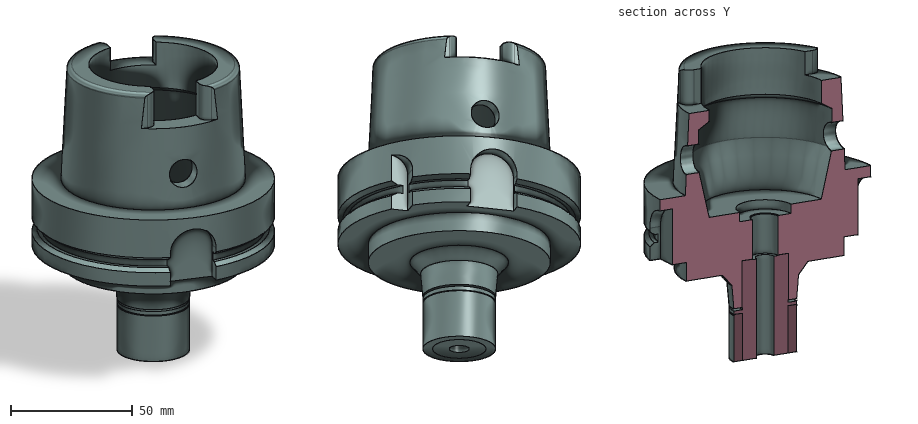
import cadquery as cq
import math

shank_height = 50.0
shank_base_radius = 38.0
taper_slope = 1 / 20
shank_top_radius = shank_base_radius - shank_height * taper_slope
shank_rim_fillet = 2.0

flange_radius = 50.0
flange_bottom = -29.0
groove_top = -16.6
groove_bottom = -23.1
groove_flank_depth = 2.0
groove_flank_height = 1.5
groove_root_radius = 46.2

collar_radius = 37.5
collar_bottom = -37.0
cone_top_radius = 20.3
cone_bottom_radius = 15.9
cone_bottom = -42.0
neck_end_radius = 15.0
neck_bottom = -52.2

mouth_radius = 26.5
mouth_depth = 20.0
cavity_radius = 31.5
clamp_angle = 30.0
cavity_wall_bottom = 10.0
cavity_floor = -11.0
cavity_floor_radius = 26.5
counterbore_radius = 12.0
counterbore_depth = 4.0
coolant_radius = 6.0
coolant_chamfer = 0.3

drive_slot_width = 20.0
drive_slot_floors = {-1: 40.0, 1: 35.0}
drive_flat_distance = 32.2
drive_corner_radius = 4.0
cross_hole_radius = 6.0
cross_hole_height = 15.0

keyway_width = 20.0
keyway_top = -5.0
keyway_floor_distance = 44.0
side_notch_width = 16.0
side_notch_inner_edge = 31.8
side_notch_top = -5.2
side_notch_floor_distance = 31.6

spindle_gap = 0.8
spindle_radius = 11.0
spindle_bore_radius = 4.1
spindle_socket_depth = 20.0
spindle_flange_thickness = 1.7
nut_chamfer = 0.3
nut_radius = neck_end_radius
tool_end = -75.0

spindle_flange_top = neck_bottom - spindle_gap
nut_top = spindle_flange_top - spindle_flange_thickness
spindle_top = neck_bottom + spindle_socket_depth


def cylinder(radius, bottom, top):
    return cq.Workplane("XY").workplane(offset=bottom).circle(radius).extrude(top - bottom)


def holder_blank():
    """Solid of revolution: taper shank, grooved flange, collar, cone and neck."""
    outline = [
        (0, shank_height),
        (shank_top_radius, shank_height),
        (shank_base_radius, 0),
        (flange_radius, 0),
        (flange_radius, groove_top),
        (flange_radius - groove_flank_depth, groove_top - groove_flank_height),
        (groove_root_radius, groove_top - groove_flank_height),
        (groove_root_radius, groove_bottom + groove_flank_height),
        (flange_radius - groove_flank_depth, groove_bottom + groove_flank_height),
        (flange_radius, groove_bottom),
        (flange_radius, flange_bottom),
        (collar_radius, flange_bottom),
        (collar_radius, collar_bottom),
        (cone_top_radius, collar_bottom),
        (cone_bottom_radius, cone_bottom),
        (neck_end_radius, neck_bottom),
        (0, neck_bottom),
    ]
    blank = cq.Workplane("XZ").polyline(outline).close().revolve(360, (0, 0), (0, 1))
    return blank.faces(">Z").edges().fillet(shank_rim_fillet)


def cavity():
    """Stepped bore of the shank, ending in the counterbore over the coolant hole."""
    mouth_bottom = shank_height - mouth_depth
    clamp_height = (cavity_radius - mouth_radius) * math.tan(math.radians(clamp_angle))
    outline = [
        (0, shank_height),
        (mouth_radius, shank_height),
        (mouth_radius, mouth_bottom),
        (cavity_radius, mouth_bottom - clamp_height),
        (cavity_radius, cavity_wall_bottom),
        (cavity_floor_radius, cavity_floor),
        (counterbore_radius, cavity_floor),
        (counterbore_radius, cavity_floor - counterbore_depth),
        (coolant_radius + coolant_chamfer, cavity_floor - counterbore_depth),
        (coolant_radius, cavity_floor - counterbore_depth - coolant_chamfer),
        (coolant_radius, spindle_top),
        (0, spindle_top),
    ]
    return cq.Workplane("XZ").polyline(outline).close().revolve(360, (0, 0), (0, 1))


def drive_slot(side):
    """Slot through the rim wall that opens through rounded corners onto an outer flat."""
    floor = drive_slot_floors[side]
    height = shank_height - floor
    half_slot = drive_slot_width / 2
    flat_x = side * drive_flat_distance
    outer_x = side * flange_radius
    passage = (
        cq.Workplane("XY").workplane(offset=floor)
        .moveTo(0, -half_slot).lineTo(flat_x, -half_slot)
        .lineTo(flat_x, -flange_radius).lineTo(outer_x, -flange_radius)
        .lineTo(outer_x, flange_radius).lineTo(flat_x, flange_radius)
        .lineTo(flat_x, half_slot).lineTo(0, half_slot).close()
        .extrude(height)
    )
    for corner_y in (-half_slot, half_slot):
        corner = cq.selectors.NearestToPointSelector((flat_x, corner_y, floor + height / 2))
        passage = passage.edges("|Z").edges(corner).fillet(drive_corner_radius)
    return passage


def round_topped_notch(width, top, centre_y, floor_x, side):
    """Cutter for a notch in the flange, open downward, with a semicircular top end."""
    radius = width / 2
    depth = flange_radius - floor_x
    spring_line = top - radius
    return (
        cq.Workplane("YZ").workplane(offset=side * floor_x)
        .moveTo(centre_y - radius, flange_bottom)
        .lineTo(centre_y - radius, spring_line)
        .threePointArc((centre_y, top), (centre_y + radius, spring_line))
        .lineTo(centre_y + radius, flange_bottom)
        .close()
        .extrude(side * depth)
    )


def make_holder():
    """Taper shank with its flange and neck, bored and notched, with a socket for the spindle."""
    holder = holder_blank().cut(cavity())
    for side in (-1, 1):
        holder = holder.cut(drive_slot(side))
        holder = holder.cut(round_topped_notch(keyway_width, keyway_top, 0, keyway_floor_distance, side))
    side_notch_centre = side_notch_inner_edge + side_notch_width / 2
    holder = holder.cut(
        round_topped_notch(side_notch_width, side_notch_top, side_notch_centre, side_notch_floor_distance, -1)
    )
    cross_hole = (
        cq.Workplane("YZ").center(0, cross_hole_height)
        .circle(cross_hole_radius).extrude(flange_radius, both=True)
    )
    holder = holder.cut(cross_hole)
    return holder.cut(cylinder(spindle_radius, neck_bottom, spindle_top))


def make_spindle():
    """Bored shaft seated in the neck, with a thin flange resting on the nut."""
    shaft = cylinder(spindle_radius, tool_end, spindle_top)
    flange = cylinder(nut_radius, nut_top, spindle_flange_top)
    return shaft.union(flange).cut(cylinder(spindle_bore_radius, tool_end, spindle_top))


def make_nut():
    """Plain sleeve around the lower end of the spindle."""
    blank = cylinder(nut_radius, tool_end, nut_top).faces(">Z").chamfer(nut_chamfer)
    return blank.cut(cylinder(spindle_radius, tool_end, nut_top))


holder = make_holder()
spindle = make_spindle()
nut = make_nut()

result = cq.Compound.makeCompound([holder.val(), spindle.val(), nut.val()])